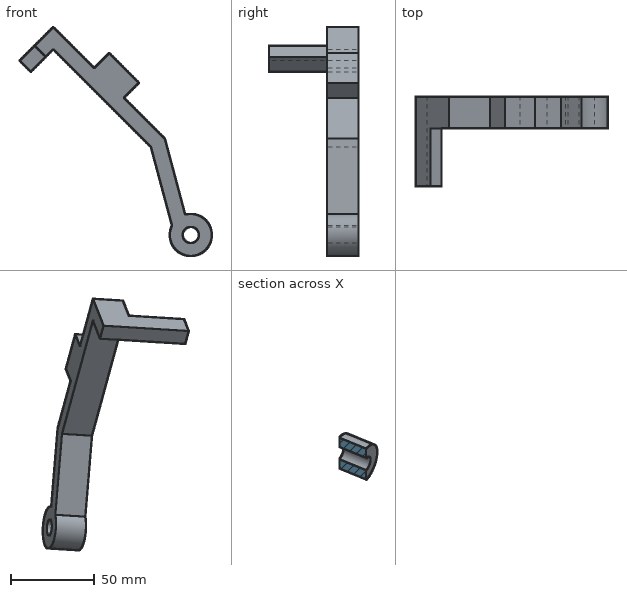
import cadquery as cq
import math

bar_thickness = 9.525
part_depth = 19.05
bar_length = 94.86
hook_length = 28.575
bar_slope = 45.0
arm_slope = 75.0
arm_length = 59.79
block_length = 25.4
block_height = 12.7
tab_width = 12.7
tab_reach = 34.925
boss_diameter = 25.4
bore_diameter = 9.525

bar_along = cq.Vector(math.cos(math.radians(bar_slope)), -math.sin(math.radians(bar_slope)))
bar_outward = cq.Vector(-bar_along.y, bar_along.x)
arm_along = cq.Vector(math.cos(math.radians(arm_slope)), -math.sin(math.radians(arm_slope)))
arm_outward = cq.Vector(-arm_along.y, arm_along.x)

bend_corner = bar_along * bar_length
boss_center = bend_corner + arm_along * arm_length
bend_setback = bar_thickness * math.tan(math.radians((arm_slope - bar_slope) / 2))


def bar_point(along, outward):
    """Point in the XZ plane measured from the hook corner in the bar's directions."""
    return bar_along * along + bar_outward * outward


def extrude_outline(points, front_y, depth):
    """Prism with the given XZ outline, running toward +Y from front_y."""
    plane = cq.Workplane("XZ", origin=(0, front_y, 0))
    return plane.polyline([(p.x, p.y) for p in points]).close().extrude(-depth)


def make_bent_bar():
    """Hook, main bar and lower arm, ending inside the boss."""
    outline = [
        bar_point(0, -hook_length),
        bar_point(0, 0),
        bend_corner,
        boss_center,
        boss_center - arm_outward * bar_thickness,
        bar_point(bar_length - bend_setback, -bar_thickness),
        bar_point(bar_thickness, -bar_thickness),
        bar_point(bar_thickness, -hook_length),
    ]
    return extrude_outline(outline, 0, part_depth)


def make_block():
    """Pad centred on the outer edge of the main bar, rooted through the bar."""
    start = (bar_length - block_length) / 2
    end = start + block_length
    outline = [
        bar_point(start, -bar_thickness),
        bar_point(start, block_height),
        bar_point(end, block_height),
        bar_point(end, -bar_thickness),
    ]
    return extrude_outline(outline, 0, part_depth)


def make_tab():
    """Rectangular tab reaching toward -Y from the tip of the hook."""
    outline = [
        bar_point(0, -hook_length),
        bar_point(0, tab_width - hook_length),
        bar_point(bar_thickness, tab_width - hook_length),
        bar_point(bar_thickness, -hook_length),
    ]
    return extrude_outline(outline, -tab_reach, tab_reach + part_depth)


def make_boss_cylinder(diameter):
    """Cylinder along Y about the boss axis, through the full profile depth."""
    plane = cq.Workplane("XZ").center(boss_center.x, boss_center.y)
    return plane.circle(diameter / 2).extrude(-part_depth)


body = make_bent_bar().union(make_block()).union(make_tab())
body = body.union(make_boss_cylinder(boss_diameter))
result = body.cut(make_boss_cylinder(bore_diameter))